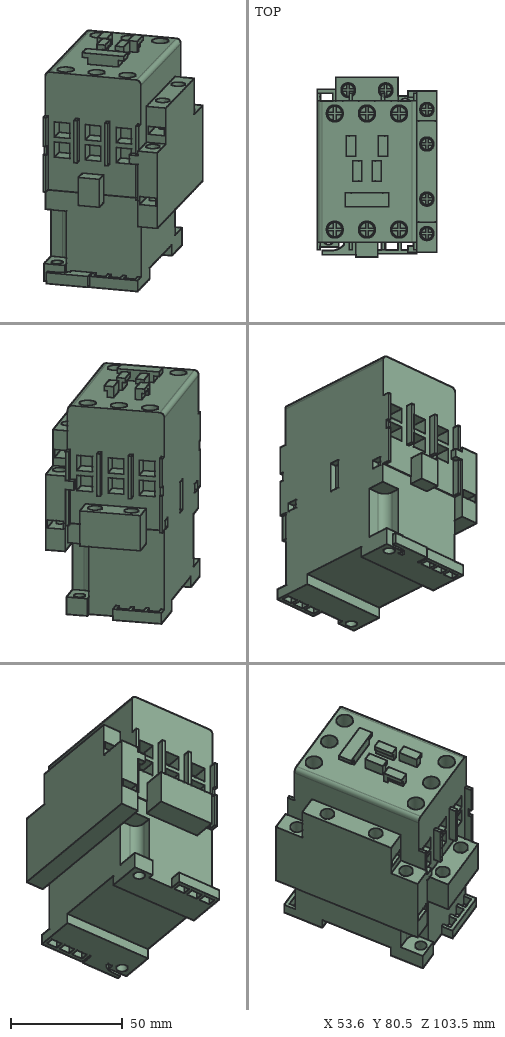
import cadquery as cq
import math


body_width = 44.6
half_width = body_width / 2
lower_depth = 62.5
upper_depth = 63.3
half_upper = upper_depth / 2
half_lower = lower_depth / 2
upper_bottom = 42.2
body_top = 97.7
edge_radius = 2.2
total_height = 103.5

foot_height = 5.2
rail_width = 34.8

tab_width = 9.7
tab_height = 8.2
tab_reach = 33.8
tab_hole_diameter = 5.2
tab_hole_inset = 5.2
tab_hole_reach = 30
recess_top = 32.9
recess_depth = 8.7
recess_radius = 4.5

lip_reach = 36.8
lip_thickness = 1.9
lip_rib_thickness = 1.6
lip_rib_pitch = 6.9
lip_rib_count = 4

clip_left = -20.1
clip_right = -0.7
clip_reach = 37.3
clip_tip_thickness = 2.0
clip_straight = 4.0
clip_bend_radius = 7.8
clip_bend_angle = math.radians(48)

pole_pitch = 14.4
pole_row_offset = 26.0
pole_count = 3
window_size = 7.1
window_depth = 7.2
window_bottoms = (58, 67.4)
pole_hole_diameter = 7.5
pole_head_diameter = 6.5
pole_hole_depth = 12.4

head_height = 2.1
screw_slot_depth = 1
screw_slot_width = 1.1

fin_reach = 35.0
fin_thickness = 1.5
fin_top = 77.1
fin_bottom = 57.2
side_fin_thickness = 1.3
notch_bottom = 59.5
notch_height = 4.1
notch_reach = 33.4

side_pocket_width = 4.8
side_pocket_height = 4.1
side_pocket_offset = 27.2
side_pocket_depth = 3.2
side_slot_width = 4.9
side_slot_height = 14.3
side_slot_bottom = 41.5

push_width = 9.8
push_bottom = 38.5
push_height = 13.1
push_reach = 38.3

coil_width = 27.9
coil_bottom = 35.5
coil_height = 16.6
coil_reach = 42.2
coil_screw_offset = 8.4
coil_screw_reach = 36.4
coil_hole_diameter = 6.4
coil_head_diameter = 5.4
small_hole_depth = 8.3

aux_width = 9.0
aux_bottom = 30.3
aux_step = 65.8
aux_top = 82.7
aux_half_length = 36.1
aux_half_centre = 22.7
aux_middle = half_width + aux_width / 2
aux_hole_diameter = 6.2
aux_head_diameter = 5.2
aux_shank_diameter = 3.3
aux_window_width = 7.5
aux_window_height = 3.7
aux_end_window_bottom = 40.8
aux_centre_window_bottom = 69.7
aux_window_margin = 3.7
aux_end_screw = 27.7
aux_centre_screw = 12.3
hook_length = 4.0
hook_thickness = 2.9

label_width = 19.5
label_stem_width = 14.2
label_front = -15.8
label_depth = 6.3
label_top = 102.9
plate_thickness = 2.2
key_length = 9.0
back_key_inner = 5.0
back_key_width = 4.3
back_key_front = 6.9
back_key_foot = 1.9
front_key_inner = 2.4
front_key_width = 3.9
front_key_front = -4.2
key_overhang = 1.3


def block(x_min, x_max, y_min, y_max, z_min, z_max):
    """Box given by its limits along each axis."""
    size = (x_max - x_min, y_max - y_min, z_max - z_min)
    return cq.Workplane("XY").box(*size, centered=False).translate((x_min, y_min, z_min))


def post(diameter, x, y, z_min, z_max):
    """Upright cylinder."""
    return cq.Workplane("XY", origin=(x, y, z_min)).circle(diameter / 2).extrude(z_max - z_min)


def half_turn(shape):
    """Copy turned half a turn about the Z axis."""
    return shape.rotate((0, 0, 0), (0, 0, 1), 180)


def screw_well(x, y, top, depth, hole_diameter, head_diameter):
    """Material to remove for a screw well that leaves a cross-slotted head at its floor."""
    floor = top - depth
    head_top = floor + head_height
    reach = head_diameter / 2
    half_slot = screw_slot_width / 2
    slot_floor = head_top - screw_slot_depth
    cross = block(-reach, reach, -half_slot, half_slot, slot_floor, head_top)
    cross = cross.union(block(-half_slot, half_slot, -reach, reach, slot_floor, head_top))
    head = post(head_diameter, x, y, floor, head_top).cut(cross.translate((x, y, 0)))
    return post(hole_diameter, x, y, floor, top).cut(head)


def make_body():
    """Lower and slightly deeper upper part, rounded along the top side edges."""
    lower = block(-half_width, half_width, -half_lower, half_lower, 0, upper_bottom)
    upper = block(-half_width, half_width, -half_upper, half_upper, upper_bottom, body_top)
    upper = upper.edges("|Y and >Z").fillet(edge_radius)
    return lower.union(upper)


def make_corner_tab():
    """Mounting tab at the front left corner."""
    return block(-half_width, tab_width - half_width, -tab_reach, recess_depth - half_lower, 0, tab_height)


def make_corner_recess():
    """Screwdriver recess above the front left tab, with the screw hole through the tab."""
    recess_end = tab_width - half_width
    recess = block(-half_width, recess_end, -half_lower, recess_depth - half_lower, tab_height, recess_top)
    recess = recess.edges("|Z and >X and >Y").fillet(recess_radius)
    hole = post(tab_hole_diameter, tab_hole_inset - half_width, -tab_hole_reach, 0, tab_height)
    return recess.union(hole)


def make_foot_lip():
    """Thin wall in front of the right half of the body, held by ribs."""
    left = half_width - lip_rib_thickness - (lip_rib_count - 1) * lip_rib_pitch
    lip = block(left, half_width, -lip_reach, lip_thickness - lip_reach, 0, foot_height)
    for index in range(lip_rib_count):
        rib_left = left + index * lip_rib_pitch
        rib = block(rib_left, rib_left + lip_rib_thickness, -lip_reach, -half_lower, 0, foot_height)
        lip = lip.union(rib)
    return lip


def make_rail_clip():
    """Clip at the front left: a thin tip that curves inwards, then meets the body squarely."""
    tip_inner = clip_tip_thickness - clip_reach
    bend_start = clip_left + clip_straight
    bend_x = clip_bend_radius * math.sin(clip_bend_angle)
    bend_y = clip_bend_radius * (1 - math.cos(clip_bend_angle))
    middle_x = clip_bend_radius * math.sin(clip_bend_angle / 2)
    middle_y = clip_bend_radius * (1 - math.cos(clip_bend_angle / 2))
    bend_middle = (bend_start + middle_x, tip_inner + middle_y)
    bend_end = (bend_start + bend_x, tip_inner + bend_y)
    return (
        cq.Workplane("XY")
        .moveTo(clip_left, -clip_reach)
        .lineTo(clip_left, tip_inner)
        .lineTo(bend_start, tip_inner)
        .threePointArc(bend_middle, bend_end)
        .lineTo(bend_start + bend_x, -half_lower)
        .lineTo(clip_right, -half_lower)
        .lineTo(clip_right, -clip_reach)
        .close()
        .extrude(foot_height)
    )


def make_rear_fins():
    """Barrier fins on the back face: two between the poles and one along each side."""
    fins = block(-half_width, side_fin_thickness - half_width, half_lower, fin_reach, upper_bottom, fin_top)
    fins = fins.union(fins.mirror("YZ"))
    for centre in (-pole_pitch / 2, pole_pitch / 2):
        left = centre - fin_thickness / 2
        fins = fins.union(block(left, left + fin_thickness, half_lower, fin_reach, fin_bottom, fin_top))
    notch_end = side_fin_thickness - half_width
    notch_top = notch_bottom + notch_height
    return fins.cut(block(-half_width, notch_end, notch_reach, fin_reach, notch_bottom, notch_top))


def make_rear_pole_openings():
    """Wire windows and screw wells of the back row of poles."""
    openings = cq.Workplane("XY")
    inner = half_upper - window_depth
    for index in range(pole_count):
        x = (index - (pole_count - 1) / 2) * pole_pitch
        left = x - window_size / 2
        for bottom in window_bottoms:
            window = block(left, left + window_size, inner, half_upper, bottom, bottom + window_size)
            openings = openings.add(window)
        depth = pole_hole_depth
        well = screw_well(x, pole_row_offset, body_top, depth, pole_hole_diameter, pole_head_diameter)
        openings = openings.add(well)
    return openings.combine()


def make_side_openings():
    """Latch pockets and the central slot in the -X side."""
    inner = side_pocket_depth - half_width
    slot_top = side_slot_bottom + side_slot_height
    half_slot = side_slot_width / 2
    openings = block(-half_width, inner, -half_slot, half_slot, side_slot_bottom, slot_top)
    pocket_top = upper_bottom + side_pocket_height
    for centre in (-side_pocket_offset, side_pocket_offset):
        front = centre - side_pocket_width / 2
        pocket = block(-half_width, inner, front, front + side_pocket_width, upper_bottom, pocket_top)
        openings = openings.union(pocket)
    return openings


def make_coil_block():
    """Terminal block on the back face, with two screws."""
    top = coil_bottom + coil_height
    coil = block(-coil_width / 2, coil_width / 2, half_lower, coil_reach, coil_bottom, top)
    for x in (-coil_screw_offset, coil_screw_offset):
        well = screw_well(x, coil_screw_reach, top, small_hole_depth, coil_hole_diameter, coil_head_diameter)
        coil = coil.cut(well)
    return coil


def make_aux_terminal(screw_y, face_y, top, window_bottom):
    """Material to remove for one rear auxiliary terminal: screw well, and window around the screw shank."""
    window_top = window_bottom + aux_window_height
    left = aux_middle - aux_window_width / 2
    inner = screw_y - aux_window_margin
    window = block(left, left + aux_window_width, inner, face_y, window_bottom, window_top)
    window = window.cut(post(aux_shank_diameter, aux_middle, screw_y, window_bottom, window_top))
    well = screw_well(aux_middle, screw_y, top, small_hole_depth, aux_hole_diameter, aux_head_diameter)
    return window.union(well)


def make_aux_block():
    """Stepped auxiliary block, with a hook at each end that catches the side fins of the body."""
    right = half_width + aux_width
    aux = block(half_width, right, -aux_half_length, aux_half_length, aux_bottom, aux_step)
    aux = aux.union(block(half_width, right, -aux_half_centre, aux_half_centre, aux_step, aux_top))
    end_terminal = make_aux_terminal(aux_end_screw, aux_half_length, aux_step, aux_end_window_bottom)
    centre_terminal = make_aux_terminal(aux_centre_screw, aux_half_centre, aux_top, aux_centre_window_bottom)
    for terminal in (end_terminal, centre_terminal):
        aux = aux.cut(terminal).cut(terminal.mirror("XZ"))
    hook_inner = aux_half_length - hook_thickness
    hook_top = notch_bottom + notch_height
    hook = block(half_width - hook_length, half_width, hook_inner, aux_half_length, notch_bottom, hook_top)
    return aux.union(hook).union(hook.mirror("XZ"))


def make_label():
    """Label plate on a narrower stem."""
    back = label_front + label_depth
    plate_bottom = label_top - plate_thickness
    plate = block(-label_width / 2, label_width / 2, label_front, back, plate_bottom, label_top)
    stem = block(-label_stem_width / 2, label_stem_width / 2, label_front, back, body_top, plate_bottom)
    return plate.union(stem)


def make_back_key():
    """Key of the back right: overhangs its stem on the outer side, except over a full-width foot in front."""
    outer = back_key_inner + back_key_width
    stem_outer = outer - key_overhang
    back = back_key_front + key_length
    foot_back = back_key_front + back_key_foot
    plate_bottom = label_top - plate_thickness
    plate = block(back_key_inner, outer, back_key_front, back, plate_bottom, label_top)
    stem = block(back_key_inner, stem_outer, back_key_front, back, body_top, plate_bottom)
    foot = block(back_key_inner, outer, back_key_front, foot_back, body_top, plate_bottom)
    return plate.union(stem).union(foot)


def make_front_key():
    """Key of the front right: overhangs its stem on the inner side."""
    outer = front_key_inner + front_key_width
    stem_inner = front_key_inner + key_overhang
    back = front_key_front + key_length
    plate_bottom = total_height - plate_thickness
    plate = block(front_key_inner, outer, front_key_front, back, plate_bottom, total_height)
    stem = block(stem_inner, outer, front_key_front, back, body_top, plate_bottom)
    return plate.union(stem)


result = make_body()
for shape in (make_corner_tab(), make_foot_lip()):
    result = result.union(shape).union(half_turn(shape))
corner_recess = make_corner_recess()
result = result.cut(corner_recess).cut(half_turn(corner_recess))
result = result.union(make_rail_clip())
result = result.cut(block(-half_width, half_width, -rail_width / 2, rail_width / 2, 0, foot_height))

rear_fins = make_rear_fins()
result = result.union(rear_fins).union(rear_fins.mirror("XZ"))
rear_openings = make_rear_pole_openings()
result = result.cut(rear_openings).cut(rear_openings.mirror("XZ"))
result = result.cut(make_side_openings())

push_top = push_bottom + push_height
result = result.union(block(-push_width / 2, push_width / 2, -push_reach, -half_lower, push_bottom, push_top))
result = result.union(make_coil_block())
result = result.union(make_aux_block())
result = result.union(make_label())
for key in (make_back_key(), make_front_key()):
    result = result.union(key).union(key.mirror("YZ"))